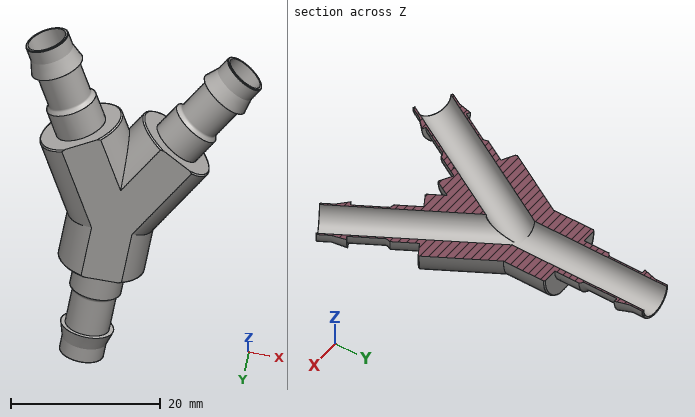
import cadquery as cq
import math


leg_angle = 30.0
stem_reach = 22.2
leg_reach = 27.0

hub_diameter = 11.75
hub_height = 10.4
hub_edge_chamfer = 0.2

bore_diameter = 5.3
tube_diameter = 6.0
collar_diameter = 7.0
barb_diameter = 7.25
tip_length = 2.05
barb_end = 4.2
collar_start = 9.95
collar_fillet = 0.38
nozzle_length = 13.9
tip_chamfer = 0.1


def revolve_about_y(outline):
    """Close an outline and revolve it about the Y axis."""
    return outline.close().revolve(360, (0, 0, 0), (0, 1, 0))


def hub_branch(reach):
    """Round hub arm along +Y with a chamfered end."""
    radius = hub_diameter / 2
    end = reach - nozzle_length
    outline = (
        cq.Workplane("XY")
        .lineTo(radius, 0)
        .lineTo(radius, end - hub_edge_chamfer)
        .lineTo(radius - hub_edge_chamfer, end)
        .lineTo(0, end)
    )
    return revolve_about_y(outline)


def nozzle(reach):
    """Solid barbed nozzle along +Y, its root at the junction."""
    tube = tube_diameter / 2
    collar = collar_diameter / 2
    collar_edge = reach - collar_start
    chamfer_foot = collar_edge + collar - tube

    half_turn = math.radians(22.5)
    tangent_length = collar_fillet * math.tan(half_turn)
    fillet_end = chamfer_foot + tangent_length
    slope_offset = tangent_length * math.cos(2 * half_turn)
    fillet_start = (tube + slope_offset, chamfer_foot - slope_offset)
    fillet_middle = (
        tube + collar_fillet * (1 - math.cos(half_turn)),
        fillet_end - collar_fillet * math.sin(half_turn),
    )

    outline = (
        cq.Workplane("XY")
        .lineTo(collar, 0)
        .lineTo(collar, collar_edge)
        .lineTo(*fillet_start)
        .threePointArc(fillet_middle, (tube, fillet_end))
        .lineTo(tube, reach - barb_end)
        .lineTo(barb_diameter / 2, reach - barb_end)
        .lineTo(tube, reach - tip_length)
        .lineTo(tube, reach - tip_chamfer)
        .lineTo(tube - tip_chamfer, reach)
        .lineTo(0, reach)
    )
    return revolve_about_y(outline)


def bore(reach):
    """Flow passage along +Y from the junction through the free end."""
    return cq.Workplane("XZ").circle(bore_diameter / 2).extrude(-reach)


def turned(shape, angle):
    """Turn a +Y branch about Z."""
    return shape.rotate((0, 0, 0), (0, 0, 1), angle)


branches = [
    (0, stem_reach),
    (180 - leg_angle, leg_reach),
    (180 + leg_angle, leg_reach),
]

hub = cq.Workplane("XY")
for angle, reach in branches:
    hub = hub.union(turned(hub_branch(reach), angle))
trim_size = 2 * leg_reach
hub = hub.intersect(cq.Workplane("XY").box(trim_size, trim_size, hub_height))

result = hub
for angle, reach in branches:
    result = result.union(turned(nozzle(reach), angle))
for angle, reach in branches:
    result = result.cut(turned(bore(reach), angle))